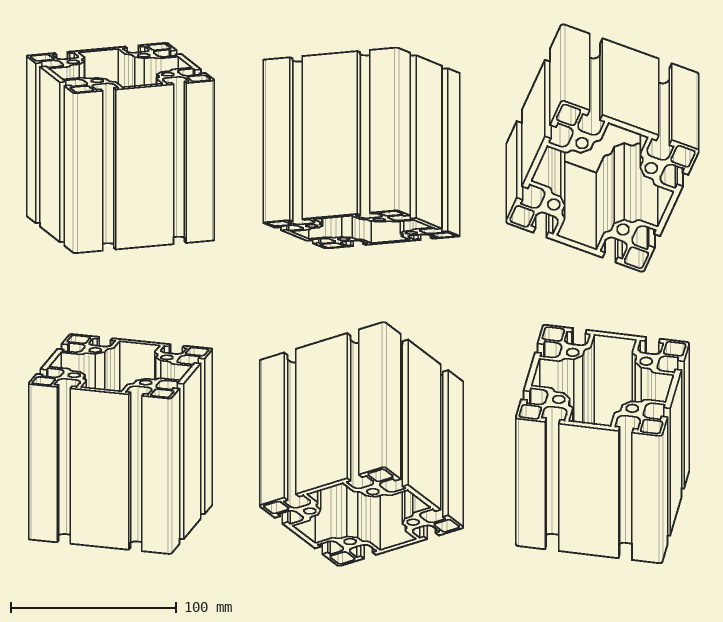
import cadquery as cq
import math

side = 90.0
length = 100.0
half_side = side / 2
outer_radius = 2.0

slot_center = side / 4
slot_opening = 8.2
lip_depth = 4.0
channel_width = 14.0
channel_depth = 15.0
channel_radius = 4.2

corner_wall = 1.9
channel_wall = 1.8
hollow_radius = 2.0

core_diameter = 7.2

web_thickness = 2.8
core_block_depth = 29.0
core_bevel_start = 24.3
blend_start = 15.0
blend_radius = 3.0

channel_near = slot_center - channel_width / 2
web_depth = slot_center + channel_width / 2 + web_thickness

blend_step = web_depth - core_block_depth
blend_angle = math.acos(1 - blend_step / 2 / blend_radius)
blend_end = blend_start + 2 * blend_radius * math.sin(blend_angle)
blend_middle = (blend_start + blend_end) / 2
blend_middle_depth = (web_depth + core_block_depth) / 2

arc_along = blend_radius * math.sin(blend_angle / 2)
arc_across = blend_radius * (1 - math.cos(blend_angle / 2))

hollow_far = channel_near - channel_wall
hollow_size = hollow_far - corner_wall
hollow_center = (corner_wall + hollow_far) / 2


def corner_points(depth):
    """Points at the given depth from both faces, one in each quadrant."""
    reach = half_side - depth
    return [(reach, reach), (-reach, reach), (-reach, -reach), (reach, -reach)]


def cavity():
    """Central opening: a square with the four corner webs left standing."""
    first_arc = (blend_start + arc_along, web_depth - arc_across)
    second_arc = (blend_end - arc_along, core_block_depth + arc_across)
    middle = (blend_middle, blend_middle_depth)
    web = (
        cq.Workplane("XY")
        .moveTo(lip_depth, lip_depth)
        .lineTo(lip_depth, web_depth)
        .lineTo(blend_start, web_depth)
        .threePointArc(first_arc, middle)
        .threePointArc(second_arc, (blend_end, core_block_depth))
        .lineTo(core_bevel_start, core_block_depth)
        .lineTo(core_block_depth, core_bevel_start)
        .lineTo(core_block_depth, blend_end)
        .threePointArc(second_arc[::-1], middle[::-1])
        .threePointArc(first_arc[::-1], (web_depth, blend_start))
        .lineTo(web_depth, lip_depth)
        .close()
        .extrude(length)
        .translate((-half_side, -half_side, 0))
    )
    opening_size = side - 2 * lip_depth
    opening = cq.Workplane("XY").rect(opening_size, opening_size).extrude(length)
    for turn in range(4):
        opening = opening.cut(web.rotate((0, 0, 0), (0, 0, 1), 90 * turn))
    return opening


def slot(x_center):
    """T-slot open to the +Y face: narrow mouth and round-bottomed channel."""
    mouth = (
        cq.Workplane("XY")
        .center(x_center, half_side - lip_depth / 2)
        .rect(slot_opening, lip_depth)
        .extrude(length)
    )
    channel_height = channel_depth - lip_depth
    channel = (
        cq.Workplane("XY")
        .center(x_center, half_side - lip_depth - channel_height / 2)
        .rect(channel_width, channel_height)
        .extrude(length)
        .edges("|Z and <Y")
        .fillet(channel_radius)
    )
    return mouth.union(channel)


def corner_hollows():
    """Rounded square hollows at the four outer corners."""
    return (
        cq.Workplane("XY")
        .pushPoints(corner_points(hollow_center))
        .rect(hollow_size, hollow_size)
        .extrude(length)
        .edges("|Z")
        .fillet(hollow_radius)
    )


def screw_cores():
    """Round bores through the four corner webs."""
    return (
        cq.Workplane("XY")
        .pushPoints(corner_points(slot_center))
        .circle(core_diameter / 2)
        .extrude(length)
    )


profile = (
    cq.Workplane("XY")
    .rect(side, side)
    .extrude(length)
    .edges("|Z")
    .fillet(outer_radius)
    .cut(cavity())
    .cut(corner_hollows())
    .cut(screw_cores())
)

slot_offset = half_side - slot_center
for turn in range(4):
    for x_center in (-slot_offset, slot_offset):
        turned_slot = slot(x_center).rotate((0, 0, 0), (0, 0, 1), 90 * turn)
        profile = profile.cut(turned_slot)

result = profile